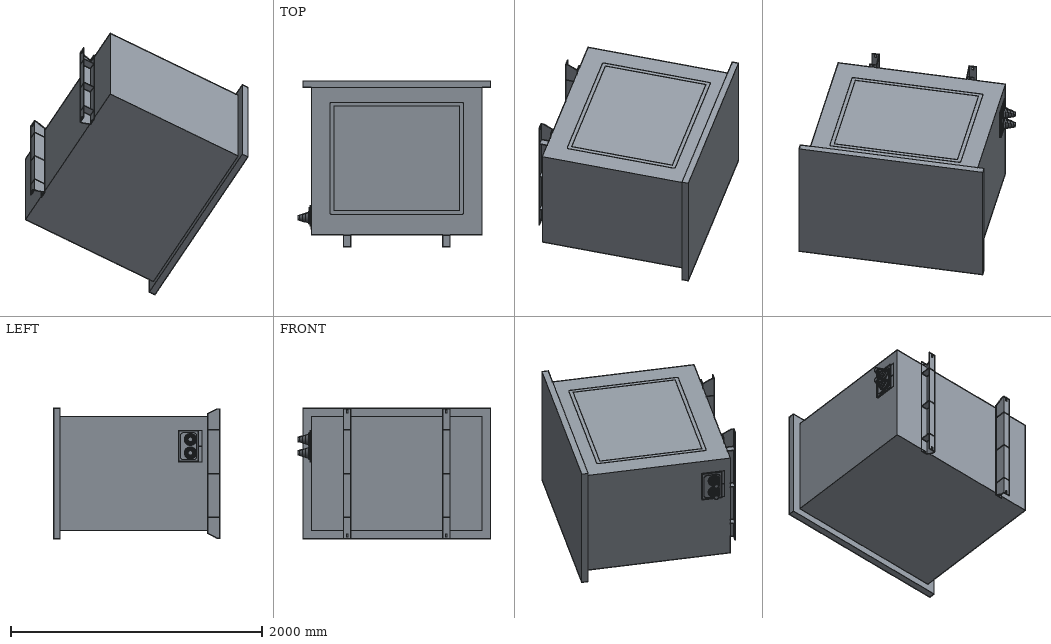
import cadquery as cq

TOTAL_LENGTH = 1532.0
TOTAL_DEPTH = 1322.0

FLANGE_WIDTH = 1492.0
FLANGE_HEIGHT = 1040.0
FLANGE_THICKNESS = 52.0
BODY_WIDTH = 1359.0
BODY_HEIGHT = 910.0
BODY_FRONT = -1224.0
BODY_SIDE = -BODY_WIDTH / 2
BODY_TOP = BODY_HEIGHT / 2

PANEL_WIDTH = 1000.0
PANEL_DEPTH = 830.0
PANEL_CENTER_Y = -616.0
FRAME_WIDTH = 1063.0
FRAME_DEPTH = 892.0
FRAME_CORNER = 14.0
GROOVE_DEPTH = 2.0

BRACKET_WEB_X = 365.0
BRACKET_WIDTH = 60.0
BRACKET_HEIGHT = 1030.0
FOOT_HEIGHT = 956.0
SHEET = 5.0
WEB_SHOULDER = 23.0
GUSSET_SPACING = 350.0
SLOT_WIDTH = 12.0
SLOT_HEIGHT = 23.0
SLOT_Z = 493.0
FOOT_HOLE_DIAMETER = 10.0
FOOT_HOLE_MARGIN = 15.0

ENTRY_BACK = -991.0
ENTRY_CENTER_Z = 218.0
ENTRY_HEIGHT = 248.0
ENTRY_WIDTH = 162.0
ENTRY_THICKNESS = 12.0
ENTRY_SHEET = 3.0
ENTRY_OVERHANG = 5.0
SEAT_WIDTH = 187.0
SEAT_THICKNESS = 2.0
SEAT_SPLIT = 3.0
PAD_WIDTH = 130.0
PAD_HEIGHT = 215.0
PAD_CORNER = 25.0
PAD_THICKNESS = 5.0

GLAND_Y = -1088.0
GLAND_SPACING = 107.0
GLAND_BASE_RADIUS = 47.0
GLAND_BASE_THICKNESS = 5.0
COLLAR_RADIUS = 40.0
COLLAR_LENGTH = 14.0
TIP_RADIUS = 18.0
RING_COUNT = 6


def block(x0, x1, y0, y1, z0, z1):
    """Box between two opposite corners."""
    return cq.Workplane("XY").box(x1 - x0, y1 - y0, z1 - z0, centered=False).translate((x0, y0, z0))


def make_cabinet():
    flange = block(
        -FLANGE_WIDTH / 2, FLANGE_WIDTH / 2, -FLANGE_THICKNESS, 0, -FLANGE_HEIGHT / 2, FLANGE_HEIGHT / 2
    )
    body = block(BODY_SIDE, -BODY_SIDE, BODY_FRONT, -FLANGE_THICKNESS, -BODY_TOP, BODY_TOP)
    return flange.union(body)


def make_roof_groove():
    """Ring between the rounded frame outline and the square-cornered panel."""
    plane = cq.Workplane("XY", origin=(0, PANEL_CENTER_Y, BODY_TOP))
    frame = plane.rect(FRAME_WIDTH, FRAME_DEPTH).extrude(-GROOVE_DEPTH).edges("|Z").fillet(FRAME_CORNER)
    panel = plane.rect(PANEL_WIDTH, PANEL_DEPTH).extrude(-GROOVE_DEPTH)
    return frame.cut(panel)


def make_right_bracket():
    """Sheet channel with its web toward the middle and its open side facing +X."""
    web_x = BRACKET_WEB_X
    free_x = web_x + BRACKET_WIDTH
    front = -TOTAL_DEPTH
    top = BRACKET_HEIGHT / 2
    foot_top = FOOT_HEIGHT / 2

    web_outline = [
        (BODY_FRONT, -foot_top),
        (BODY_FRONT, foot_top),
        (BODY_FRONT - SHEET, foot_top),
        (front + WEB_SHOULDER, top),
        (front, top),
        (front, -top),
        (front + WEB_SHOULDER, -top),
        (BODY_FRONT - SHEET, -foot_top),
    ]
    web = cq.Workplane("YZ", origin=(web_x, 0, 0)).polyline(web_outline).close().extrude(SHEET)
    foot = block(web_x, free_x, BODY_FRONT - SHEET, BODY_FRONT, -foot_top, foot_top)
    outer_leg = block(web_x, free_x, front, front + SHEET, -top, top)
    bracket = web.union(foot).union(outer_leg)

    for step in (-1, 0, 1):
        z = step * GUSSET_SPACING
        gusset = block(web_x, free_x, front + SHEET, BODY_FRONT - SHEET, z - SHEET / 2, z + SHEET / 2)
        bracket = bracket.union(gusset)

    slots = (
        cq.Workplane("XZ", origin=((web_x + free_x) / 2, front + SHEET, 0))
        .pushPoints([(0, SLOT_Z), (0, -SLOT_Z)])
        .rect(SLOT_WIDTH, SLOT_HEIGHT)
        .extrude(SHEET)
    )
    foot_hole_z = foot_top - FOOT_HOLE_MARGIN
    foot_holes = (
        cq.Workplane("XZ", origin=((web_x + free_x) / 2, BODY_FRONT, 0))
        .pushPoints([(0, foot_hole_z), (0, -foot_hole_z)])
        .circle(FOOT_HOLE_DIAMETER / 2)
        .extrude(SHEET)
    )
    return bracket.cut(slots).cut(foot_holes)


def make_cable_entry():
    """Thin split seat on the body side, a covered backing block and a rounded pad carrying the glands."""
    z0 = ENTRY_CENTER_Z - ENTRY_HEIGHT / 2
    z1 = ENTRY_CENTER_Z + ENTRY_HEIGHT / 2
    cover_x = BODY_SIDE - ENTRY_THICKNESS
    seat = block(BODY_SIDE - SEAT_THICKNESS, BODY_SIDE, ENTRY_BACK - SEAT_WIDTH, ENTRY_BACK, z0, z1)
    split = block(
        BODY_SIDE - SEAT_THICKNESS,
        BODY_SIDE,
        ENTRY_BACK - SEAT_WIDTH,
        ENTRY_BACK,
        ENTRY_CENTER_Z - SEAT_SPLIT / 2,
        ENTRY_CENTER_Z + SEAT_SPLIT / 2,
    )
    y0 = ENTRY_BACK - ENTRY_WIDTH
    cover = block(cover_x, cover_x + ENTRY_SHEET, y0, ENTRY_BACK, z0, z1)
    backing = block(
        cover_x + ENTRY_SHEET,
        BODY_SIDE,
        y0 + ENTRY_OVERHANG,
        ENTRY_BACK - ENTRY_OVERHANG,
        z0 + ENTRY_OVERHANG,
        z1 - ENTRY_OVERHANG,
    )
    pad = (
        cq.Workplane("YZ", origin=(cover_x, ENTRY_BACK - ENTRY_WIDTH / 2, ENTRY_CENTER_Z))
        .rect(PAD_WIDTH, PAD_HEIGHT)
        .extrude(-PAD_THICKNESS)
        .edges("|X")
        .fillet(PAD_CORNER)
    )
    return seat.cut(split).union(backing).union(cover).union(pad)


def make_gland(z):
    """Tapering stack of stepped rings, revolved about an axis along X."""
    tip_x = FLANGE_WIDTH / 2 - TOTAL_LENGTH
    base_x = BODY_SIDE - ENTRY_THICKNESS - PAD_THICKNESS
    collar_x = base_x - GLAND_BASE_THICKNESS
    rings_x = collar_x - COLLAR_LENGTH
    pitch = (rings_x - tip_x) / RING_COUNT
    radius_step = (COLLAR_RADIUS - TIP_RADIUS) / RING_COUNT

    profile = [(tip_x, 0)]
    for i in range(RING_COUNT):
        start = tip_x + i * pitch
        radius = TIP_RADIUS + i * radius_step
        profile += [(start, radius), (start + pitch, radius)]
    profile += [
        (rings_x, COLLAR_RADIUS),
        (collar_x, COLLAR_RADIUS),
        (collar_x, GLAND_BASE_RADIUS),
        (base_x, GLAND_BASE_RADIUS),
        (base_x, 0),
    ]
    gland = cq.Workplane("XY").polyline(profile).close().revolve(360, (0, 0, 0), (1, 0, 0))
    return gland.translate((0, GLAND_Y, z))


right_bracket = make_right_bracket()
result = make_cabinet().cut(make_roof_groove())
result = result.union(right_bracket).union(right_bracket.mirror("YZ"))
result = result.union(make_cable_entry())
for side in (-1, 1):
    result = result.union(make_gland(ENTRY_CENTER_Z + side * GLAND_SPACING / 2))